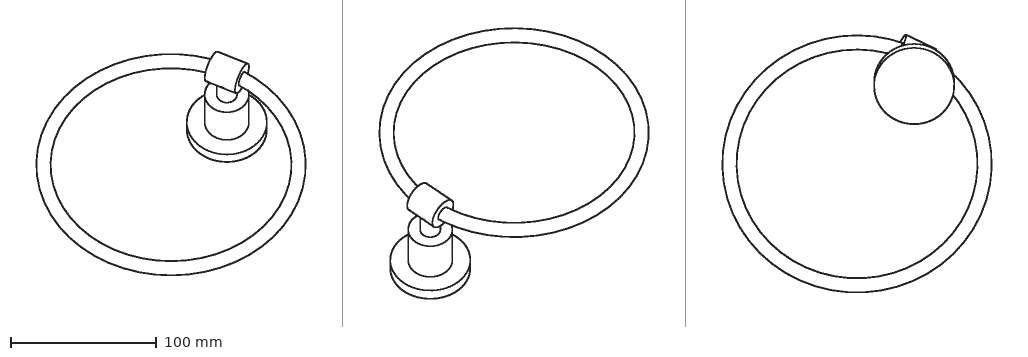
import cadquery as cq


overall_length = 207.0
overall_height = 78.0

flange_diameter = 55.0
flange_thickness = 9.0

sleeve_diameter = 30.5
sleeve_length = 32.5
sleeve_top = flange_thickness + sleeve_length

stem_diameter = 14.0
barrel_diameter = 22.0
barrel_length = 23.2
barrel_height = overall_height - barrel_diameter / 2

ring_outer_diameter = 185.0
ring_rod_diameter = 10.0
ring_radius = (ring_outer_diameter - ring_rod_diameter) / 2
ring_center_y = flange_diameter / 2 - overall_length + ring_outer_diameter / 2


def make_cylinder(diameter, height, base):
    """Upright cylinder on the Z axis, starting at the given height."""
    return cq.Workplane("XY").workplane(offset=base).circle(diameter / 2).extrude(height)


def make_base():
    """Wall flange and sleeve in one piece."""
    flange = make_cylinder(flange_diameter, flange_thickness, 0)
    sleeve = make_cylinder(sleeve_diameter, sleeve_length, flange_thickness)
    return flange.union(sleeve)


def make_ring():
    """Closed round rod lying level at the barrel's height."""
    torus = cq.Solid.makeTorus(ring_radius, ring_rod_diameter / 2)
    return cq.Workplane(torus.translate(cq.Vector(0, ring_center_y, barrel_height)))


def make_barrel_blank():
    """Solid cylinder along X, centred above the base."""
    return (
        cq.Workplane("YZ")
        .center(0, barrel_height)
        .circle(barrel_diameter / 2)
        .extrude(barrel_length / 2, both=True)
    )


def make_stem(barrel_blank):
    """Stem from the sleeve's top, its upper end hollowed to seat the barrel."""
    stem = make_cylinder(stem_diameter, barrel_height - sleeve_top, sleeve_top)
    return stem.cut(barrel_blank)


base = make_base()
ring = make_ring()
barrel_blank = make_barrel_blank()
stem = make_stem(barrel_blank)
barrel = barrel_blank.cut(ring)

result = cq.Compound.makeCompound([base.val(), stem.val(), barrel.val(), ring.val()])